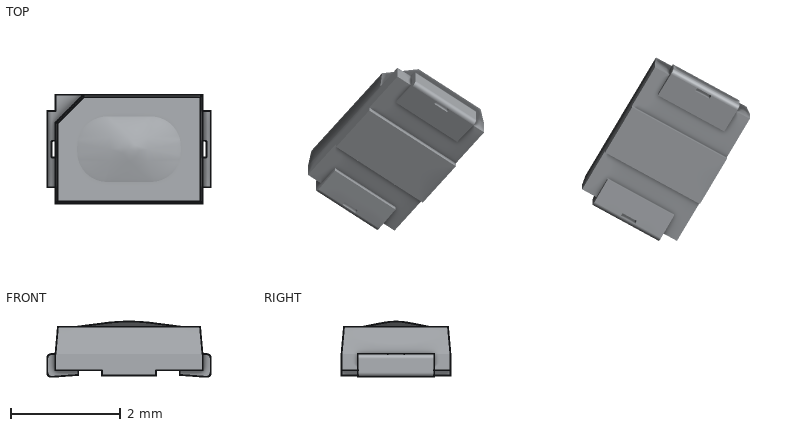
import cadquery as cq

total_length = 3.0
body_length = 2.7
body_width = 2.0

total_height = 1.02
pad_bottom = 0.025
base_bottom = 0.123
base_top = 0.423
cup_top = 0.925

pad_length = 1.0

cup_inset = 0.045
corner_cut_bottom = 0.515
corner_cut_top = 0.477

lens_length = 1.9
lens_width = 1.2
lens_corner_radius = 0.55

lead_width = 1.4
lead_bend_radius = 0.08
foot_tip_x = 0.93
foot_tip_bottom = 0.035
slot_width = 0.3
slot_corner_radius = 0.018


def make_base():
    """Rectangular base with a pad across its full width."""
    plate = cq.Workplane("XY").workplane(offset=base_bottom)
    plate = plate.rect(body_length, body_width).extrude(base_top - base_bottom)
    pad = cq.Workplane("XY").workplane(offset=pad_bottom)
    pad = pad.rect(pad_length, body_width).extrude(base_bottom - pad_bottom)
    return plate.union(pad)


def cup_outline(inset, corner_cut, height):
    """Rectangle with its -X, +Y corner cut at 45 degrees."""
    half_length = body_length / 2 - inset
    half_width = body_width / 2 - inset
    points = [
        (-half_length, -half_width, height),
        (half_length, -half_width, height),
        (half_length, half_width, height),
        (-half_length + corner_cut, half_width, height),
        (-half_length, half_width - corner_cut, height),
    ]
    return cq.Wire.makePolygon([cq.Vector(*point) for point in points], close=True)


def make_cup():
    bottom = cup_outline(0, corner_cut_bottom, base_top)
    top = cup_outline(cup_inset, corner_cut_top, cup_top)
    return cq.Workplane(obj=cq.Solid.makeLoft([bottom, top], True))


def make_lens():
    """Smooth surface stretched from a rounded rectangle up to a central peak."""
    column = cq.Workplane("XY").rect(lens_length, lens_width).extrude(cup_top)
    floor = column.edges("|Z").fillet(lens_corner_radius).faces(">Z").val()
    peak = cq.Vector(0, 0, total_height)
    dome = cq.Face.makeNSidedSurface(floor.Edges(), [peak])
    shell = cq.Shell.makeShell([floor, dome])
    return cq.Workplane(obj=cq.Solid.makeSolid(shell))


def make_left_lead():
    """Lead folded down the -X end, with a foot rising toward its inner tip."""
    outer_x = -total_length / 2
    inner_x = -body_length / 2
    bend_x = outer_x + lead_bend_radius
    lead = (
        cq.Workplane("XZ")
        .moveTo(inner_x, base_top)
        .lineTo(bend_x, base_top)
        .radiusArc((outer_x, base_top - lead_bend_radius), -lead_bend_radius)
        .lineTo(outer_x, lead_bend_radius)
        .radiusArc((bend_x, 0), -lead_bend_radius)
        .lineTo(-foot_tip_x, foot_tip_bottom)
        .lineTo(-foot_tip_x, base_bottom)
        .lineTo(inner_x, base_bottom)
        .close()
        .extrude(lead_width / 2, both=True)
    )
    slot = (
        cq.Workplane("XY")
        .center((bend_x + inner_x) / 2, 0)
        .rect(inner_x - bend_x, slot_width)
        .extrude(base_top)
        .edges("|Z and <X")
        .fillet(slot_corner_radius)
    )
    return lead.cut(slot)


left_lead = make_left_lead()
right_lead = left_lead.mirror("YZ")
result = make_base().union(make_cup()).union(make_lens()).union(left_lead).union(right_lead)